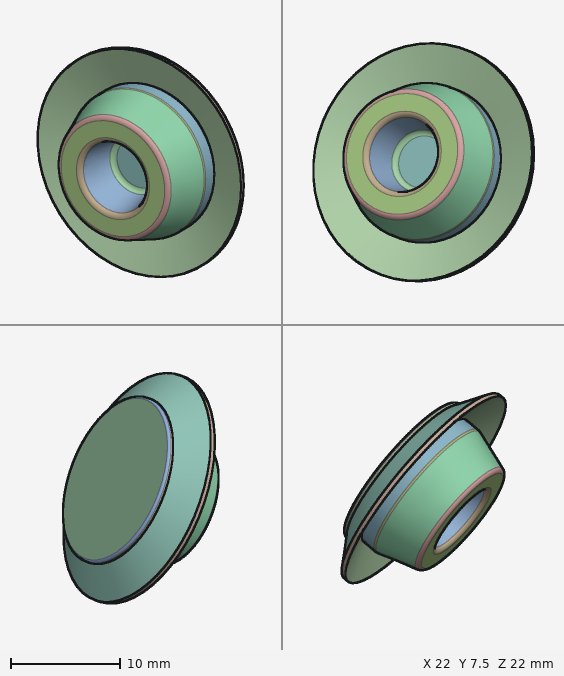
import cadquery as cq

total_depth = 7.5

hub_front_radius = 5.96
hub_radius = 7.28
hub_taper_end = 4.25
edge_fillet = 0.5
shoulder_fillet = 0.75

flange_radius = 11
flange_front = 4.5
rim_thickness = 0.48
disc_radius = 8.0
disc_thickness = 0.48
disc_fillet = 0.25
dish_bottom = 5.83

bore_mouth_radius = 3.52
bore_floor_radius = 2.84
bore_depth = flange_front


def revolve_about_y(profile):
    """Revolve a closed (radius, depth) outline a full turn about the Y axis."""
    outline = cq.Workplane("XY").polyline(profile).close()
    return outline.revolve(360, (0, 0, 0), (0, 1, 0))


def edges_at(body, radius, depth):
    """Select the circular edges at the given radius and depth."""
    margin = 0.02
    outer = radius + margin
    inner = radius - margin
    return body.edges(
        cq.selectors.BoxSelector(
            (-outer, depth - margin, -outer), (outer, depth + margin, outer), boundingbox=True
        )
        - cq.selectors.BoxSelector(
            (-inner, depth - margin, -inner), (inner, depth + margin, inner), boundingbox=True
        )
    )


body = revolve_about_y([
    (0, 0),
    (hub_front_radius, 0),
    (hub_radius, hub_taper_end),
    (hub_radius, dish_bottom),
    (flange_radius, flange_front),
    (flange_radius, flange_front + rim_thickness),
    (disc_radius, total_depth - disc_thickness),
    (disc_radius, total_depth),
    (0, total_depth),
])
body = edges_at(body, hub_front_radius, 0).fillet(edge_fillet)
body = edges_at(body, hub_radius, hub_taper_end).fillet(shoulder_fillet)
body = edges_at(body, disc_radius, total_depth).fillet(disc_fillet)

bore = revolve_about_y([
    (0, 0),
    (bore_mouth_radius, 0),
    (bore_floor_radius, bore_depth),
    (0, bore_depth),
])
body = body.cut(bore)
body = edges_at(body, bore_mouth_radius, 0).fillet(edge_fillet)
body = edges_at(body, bore_floor_radius, bore_depth).fillet(edge_fillet)

result = body